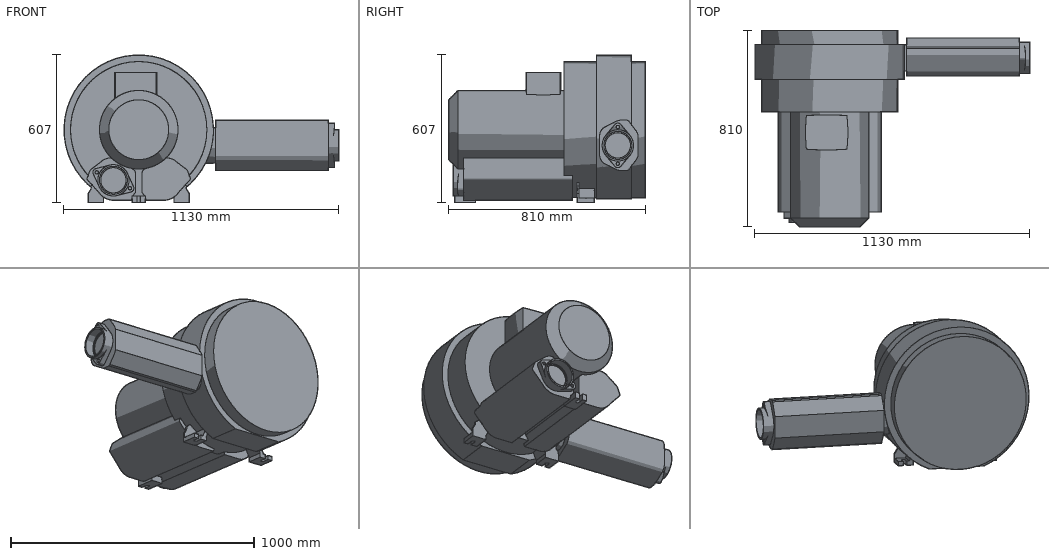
import cadquery as cq
import math


cover_radius = 280.0
ring_radius = 307.0
ring_flat_z = -285.0
ring_front_y = 133.0
ring_back_y = 277.0
housing_back_y = 335.0

motor_radius = 162.0
motor_length = 475.0
motor_chamfer = 38.0
motor_overlap = 11.0

box_center_x = -12.0
box_center_y = -85.0
box_half_x = 84.0
box_half_y = 69.0
box_bulge = 3.0
box_base_z = 90.0
box_top_z = 236.0

lower_start_y = 35.0
lower_end_y = -413.0
lower_inner_x = -14.0
lower_top_z = -116.0
lower_bottom_z = -290.0

side_start_x = 317.0
side_end_x = 780.0
side_axis_y = 222.0
side_axis_z = -64.0
side_front_y = 147.0
side_back_y = 304.0

neck_start_x = 226.0
neck_width = 109.0
neck_half_height = 73.0

port_length = 43.0
port_radius = 64.0
port_bore_radius = 58.0
port_seat_radius = 52.0
port_seat_height = 5.0
ear_offset = 76.0
ear_radius = 16.0
ear_hole_radius = 7.0
flange_thickness = 26.0
flange_waist_thickness = 15.0
lower_port_x = -104.0
lower_port_z = -208.0
lower_port_tilt = 25.6

foot_bottom_z = -300.0
slot_width = 15.0
slot_depth = 34.0
rear_foot_outer_x = 208.0
rear_foot_inner_x = 145.0
rear_foot_front_y = 54.0
rear_foot_back_y = 125.0
rear_foot_top_z = -281.0
rear_plate_thickness = 8.0
rear_plate_top_z = -215.0
rear_web_top_z = -240.0
rear_slot_x = 180.0
front_foot_width = 54.0
front_foot_front_y = -450.0
front_foot_back_y = -363.0
front_foot_top_z = -272.0


def y_cylinder(radius, start_y, end_y):
    """Cylinder about the Y axis between two Y positions."""
    return cq.Workplane("XZ", origin=(0, end_y, 0)).circle(radius).extrude(end_y - start_y)


def box_between(low, high):
    """Axis-aligned box given by two opposite corners."""
    size = [b - a for a, b in zip(low, high)]
    return cq.Workplane("XY").box(*size, centered=False).translate(low)


def make_housing():
    ring = y_cylinder(ring_radius, ring_front_y, ring_back_y)
    below_flat = box_between(
        (-ring_radius, ring_front_y, -2 * ring_radius),
        (ring_radius, ring_back_y, ring_flat_z),
    )
    return y_cylinder(cover_radius, 0, housing_back_y).union(ring.cut(below_flat))


def make_motor():
    return y_cylinder(motor_radius, -motor_length, motor_overlap).faces("<Y").chamfer(motor_chamfer)


def make_terminal_box():
    x, y = box_half_x, box_half_y
    outline = (
        cq.Workplane("XY", origin=(box_center_x, box_center_y, box_base_z))
        .moveTo(-x, -y)
        .threePointArc((0, -y - box_bulge), (x, -y))
        .threePointArc((x + box_bulge, 0), (x, y))
        .threePointArc((0, y + box_bulge), (-x, y))
        .threePointArc((-x - box_bulge, 0), (-x, -y))
        .close()
    )
    return outline.extrude(box_top_z - box_base_z)


def make_lower_silencer():
    """Silencer body on the -X side; its upper right part runs inside the motor."""
    outline = (
        cq.Workplane("XZ", origin=(0, lower_start_y, 0))
        .moveTo(-62.0, lower_top_z)
        .lineTo(-107.0, lower_top_z)
        .threePointArc((-129.0, -118.0), (-147.0, -125.0))
        .lineTo(-191.0, -159.0)
        .threePointArc((-198.0, -165.0), (-202.0, -173.0))
        .lineTo(-211.0, -197.0)
        .threePointArc((-213.0, -201.0), (-210.0, -207.0))
        .lineTo(-164.0, -258.0)
        .threePointArc((-140.0, -280.0), (-107.0, lower_bottom_z))
        .lineTo(-30.0, lower_bottom_z)
        .lineTo(-24.0, -271.0)
        .lineTo(lower_inner_x, -258.0)
        .lineTo(lower_inner_x, -176.0)
        .threePointArc((-17.0, -168.0), (-25.0, -162.0))
        .close()
    )
    return outline.extrude(lower_start_y - lower_end_y)


def make_side_silencer():
    ridge_front = (-3.0, 101.0)
    ridge_top = (10.0, 104.0)
    ridge_back = (38.0, 104.0)
    back_slope_start = (45.0, 100.0)
    back_slope_end = (76.0, 59.0)
    shoulder = (-58.0, 73.0)
    front_edge = (side_front_y - side_axis_y, 37.0)
    shoulder_mid = (-70.0, 59.0)
    back_edge = (side_back_y - side_axis_y, 45.0)

    def mirrored(point):
        return (point[0], -point[1])

    upper = [ridge_front, ridge_top, ridge_back, back_slope_start, back_slope_end, back_edge]
    outline = cq.Workplane("YZ", origin=(side_start_x, side_axis_y, side_axis_z))
    outline = outline.moveTo(*front_edge).threePointArc(shoulder_mid, shoulder)
    for point in upper:
        outline = outline.lineTo(*point)
    for point in reversed(upper):
        outline = outline.lineTo(*mirrored(point))
    outline = outline.lineTo(*mirrored(shoulder))
    outline = outline.threePointArc(mirrored(shoulder_mid), mirrored(front_edge)).close()
    return outline.extrude(side_end_x - side_start_x)


def make_neck():
    """Duct with a rectangular upper half and a half-elliptical lower half."""
    length = side_start_x - neck_start_x
    base = cq.Workplane("YZ", origin=(neck_start_x, side_axis_y, side_axis_z))
    upper_half = base.center(0, neck_half_height / 2).rect(neck_width, neck_half_height).extrude(length)
    lower_half = base.ellipse(neck_width / 2, neck_half_height).extrude(length)
    return upper_half.union(lower_half)


def make_port(origin, ear_direction, outward):
    """Hollow pipe and two-eared flange on a silencer end face."""
    base = cq.Workplane(cq.Plane(origin, ear_direction, outward))

    tangent_cos = (port_radius - ear_radius) / ear_offset
    tangent_sin = math.sqrt(1 - tangent_cos**2)
    pipe_x, pipe_y = port_radius * tangent_cos, port_radius * tangent_sin
    ear_x, ear_y = ear_offset + ear_radius * tangent_cos, ear_radius * tangent_sin
    ear_tip = ear_offset + ear_radius
    flange = (
        base.moveTo(pipe_x, pipe_y)
        .lineTo(ear_x, ear_y)
        .threePointArc((ear_tip, 0), (ear_x, -ear_y))
        .lineTo(pipe_x, -pipe_y)
        .threePointArc((0, -port_radius), (-pipe_x, -pipe_y))
        .lineTo(-ear_x, -ear_y)
        .threePointArc((-ear_tip, 0), (-ear_x, ear_y))
        .lineTo(-pipe_x, pipe_y)
        .threePointArc((0, port_radius), (pipe_x, pipe_y))
        .close()
        .extrude(flange_thickness)
    )

    side_plane = cq.Plane(origin, ear_direction, base.plane.yDir)
    valley = (
        cq.Workplane(side_plane)
        .moveTo(-ear_offset, -flange_thickness)
        .lineTo(0, -flange_waist_thickness)
        .lineTo(ear_offset, -flange_thickness)
        .close()
        .extrude(port_radius + ear_radius, both=True)
    )
    holes = base.pushPoints([(-ear_offset, 0), (ear_offset, 0)]).circle(ear_hole_radius)
    flange = flange.cut(valley).cut(holes.extrude(flange_thickness))

    pipe = base.circle(port_radius).extrude(port_length)
    seat_bore = base.circle(port_seat_radius).extrude(port_length)
    main_bore = base.workplane(offset=port_seat_height).circle(port_bore_radius).extrude(port_length)
    return flange.union(pipe).cut(seat_bore).cut(main_bore)


def make_slot(center_x, open_y, inward, top_z):
    """Cutter for an open bolt slot with a round end; inward is +1 or -1 along Y."""
    height = top_z - foot_bottom_z
    end_center_y = open_y + inward * (slot_depth - slot_width / 2)
    straight = cq.Workplane("XY", origin=(center_x, (open_y + end_center_y) / 2, foot_bottom_z))
    straight = straight.rect(slot_width, abs(end_center_y - open_y)).extrude(height)
    round_end = cq.Workplane("XY", origin=(center_x, end_center_y, foot_bottom_z))
    return straight.union(round_end.circle(slot_width / 2).extrude(height))


def make_rear_foot():
    """Foot on the -X side: front plate, slotted base and a sloped web under the housing."""
    plate = (
        cq.Workplane("XZ", origin=(0, rear_foot_front_y + rear_plate_thickness, 0))
        .moveTo(-rear_foot_inner_x, foot_bottom_z)
        .lineTo(-rear_foot_outer_x, foot_bottom_z)
        .lineTo(-rear_foot_outer_x, -262.0)
        .lineTo(-197.0, -244.0)
        .lineTo(-195.0, -232.0)
        .lineTo(-176.0, rear_plate_top_z)
        .lineTo(-rear_foot_inner_x, rear_plate_top_z)
        .close()
        .extrude(rear_plate_thickness)
    )
    base = box_between(
        (-rear_foot_outer_x, rear_foot_front_y, foot_bottom_z),
        (-rear_foot_inner_x, rear_foot_back_y, rear_foot_top_z),
    )
    base = base.cut(make_slot(-rear_slot_x, rear_foot_back_y, -1, rear_foot_top_z))
    web = (
        cq.Workplane("XZ", origin=(0, rear_foot_back_y, 0))
        .moveTo(-rear_foot_inner_x, rear_foot_top_z)
        .lineTo(-163.0, rear_foot_top_z)
        .lineTo(-141.0, rear_web_top_z)
        .lineTo(-124.0, rear_web_top_z)
        .close()
        .extrude(rear_foot_back_y - rear_foot_front_y)
    )
    return plate.union(base).union(web)


def make_front_foot():
    foot = box_between(
        (-front_foot_width / 2, front_foot_front_y, foot_bottom_z),
        (front_foot_width / 2, front_foot_back_y, front_foot_top_z),
    )
    return foot.cut(make_slot(0, front_foot_front_y, 1, front_foot_top_z))


tilt = math.radians(lower_port_tilt)
lower_port = make_port(
    (lower_port_x, lower_end_y, lower_port_z),
    (-math.cos(tilt), 0, math.sin(tilt)),
    (0, -1, 0),
)
side_port = make_port((side_end_x, side_axis_y, side_axis_z), (0, 0, 1), (1, 0, 0))

result = make_housing().union(make_motor()).union(make_terminal_box())
for left_part in (make_lower_silencer(), make_rear_foot()):
    result = result.union(left_part).union(left_part.mirror("YZ"))
for single_part in (make_front_foot(), make_neck(), make_side_silencer(), lower_port, side_port):
    result = result.union(single_part)